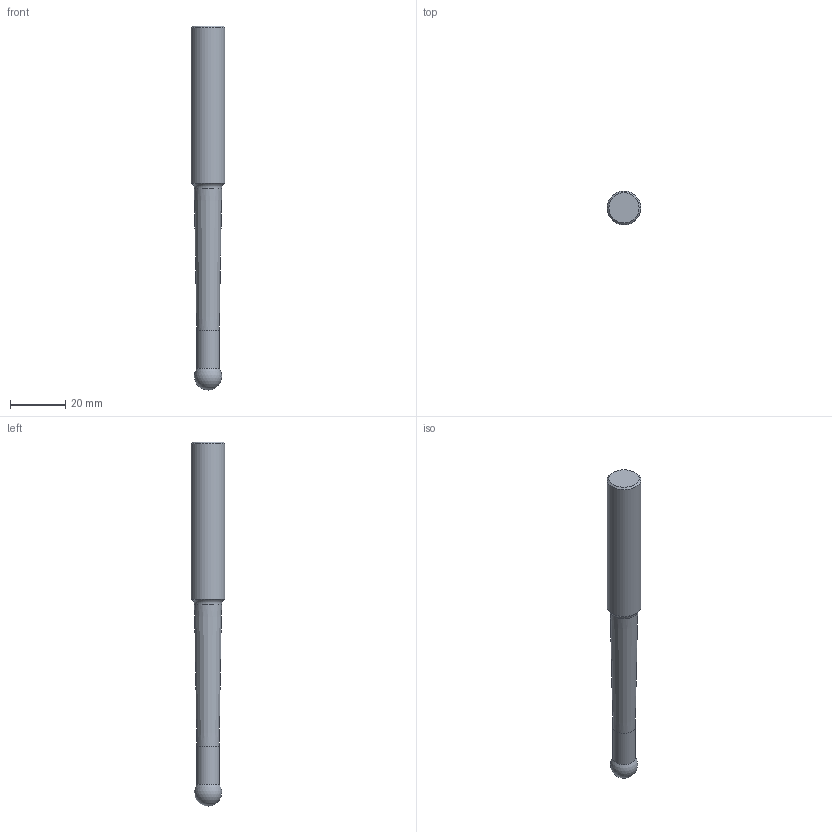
import cadquery as cq
import math

total_length = 132.0
shank_diameter = 12.22
shank_length = 57.0
top_chamfer = 0.63

neck_top_diameter = 9.94
relief_radius = 2.0

stem_diameter = 8.12
stem_top_z = 21.65
ball_diameter = 9.92

shank_radius = shank_diameter / 2
neck_top_radius = neck_top_diameter / 2
stem_radius = stem_diameter / 2
ball_radius = ball_diameter / 2

shank_bottom_z = total_length - shank_length
relief_step = shank_radius - neck_top_radius
relief_angle = math.acos(1 - relief_step / relief_radius)
neck_top_z = shank_bottom_z - relief_radius * math.sin(relief_angle)
relief_mid_point = (
    neck_top_radius + relief_radius * (1 - math.cos(relief_angle / 2)),
    neck_top_z + relief_radius * math.sin(relief_angle / 2),
)

ball_center_z = ball_radius
ball_top_z = ball_diameter
seat_edge_z = ball_center_z + math.sqrt(ball_radius**2 - stem_radius**2)
seat_angle = math.asin(stem_radius / ball_radius)
seat_mid_point = (
    ball_radius * math.sin(seat_angle / 2),
    ball_center_z + ball_radius * math.cos(seat_angle / 2),
)


def make_holder():
    """Shank, relief, tapered neck and stem, turned about Z in one piece."""
    half_profile = (
        cq.Workplane("XZ")
        .moveTo(0, ball_top_z)
        .threePointArc(seat_mid_point, (stem_radius, seat_edge_z))
        .lineTo(stem_radius, stem_top_z)
        .lineTo(neck_top_radius, neck_top_z)
        .threePointArc(relief_mid_point, (shank_radius, shank_bottom_z))
        .lineTo(shank_radius, total_length - top_chamfer)
        .lineTo(shank_radius - top_chamfer, total_length)
        .lineTo(0, total_length)
        .close()
    )
    return half_profile.revolve(360, (0, 0, 0), (0, 1, 0))


def make_ball():
    """Full ball sitting in the seat at the end of the stem."""
    return cq.Workplane("XY").sphere(ball_radius).translate((0, 0, ball_center_z))


holder = make_holder()
ball = make_ball()

result = cq.Compound.makeCompound([holder.val(), ball.val()])